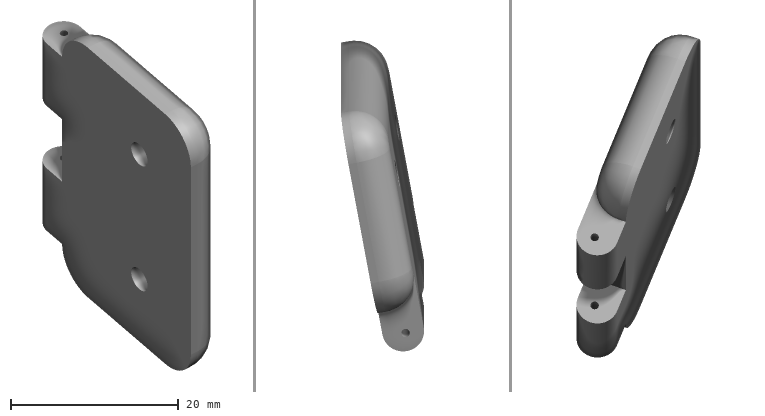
import cadquery as cq

plate_width = 25.0
plate_height = 40.0
thickness = 5.0
corner_radius = 5.0
back_edge_radius = 4.0

hinge_reach = 5.45
knuckle_length = 10.0
knuckle_gap = 10.0
knuckle_radius = thickness / 2
pin_diameter = 1.0
pin_from_tip = 2.25
pin_from_front = 2.75

screw_diameter = 3.2
screw_from_right = 10.0
screw_spacing = 20.0

plate_right = hinge_reach + plate_width
hinge_length = 2 * knuckle_length + knuckle_gap
hinge_bottom = (plate_height - hinge_length) / 2


def block(x_start, x_end, z_start, length):
    """Full-thickness block standing on z_start."""
    return cq.Workplane("XY").box(
        x_end - x_start, thickness, length, centered=False
    ).translate((x_start, 0, z_start))


def make_plate():
    """Plate with round corners and a rounded back edge."""
    plate = block(hinge_reach, plate_right, 0, plate_height)
    plate = plate.edges("|Y").fillet(corner_radius)
    return plate.faces(">Y").edges().fillet(back_edge_radius)


def make_knuckle(z_start):
    """Knuckle with a half-round tip, reaching in under the rounded plate edge."""
    root = hinge_reach + back_edge_radius
    return (
        cq.Workplane("XY", origin=(0, 0, z_start))
        .moveTo(root, 0)
        .lineTo(knuckle_radius, 0)
        .threePointArc((0, knuckle_radius), (knuckle_radius, thickness))
        .lineTo(root, thickness)
        .close()
        .extrude(knuckle_length)
    )


square_edge = block(hinge_reach, hinge_reach + corner_radius, hinge_bottom, hinge_length)
result = make_plate().union(square_edge)

for z_start in (hinge_bottom, hinge_bottom + knuckle_length + knuckle_gap):
    result = result.union(make_knuckle(z_start))

pin_hole = (
    cq.Workplane("XY", origin=(pin_from_tip, pin_from_front, hinge_bottom))
    .circle(pin_diameter / 2)
    .extrude(hinge_length)
)
result = result.cut(pin_hole)

for z_offset in (-screw_spacing / 2, screw_spacing / 2):
    screw_hole = (
        cq.Workplane("XZ", origin=(plate_right - screw_from_right, 0, plate_height / 2 + z_offset))
        .circle(screw_diameter / 2)
        .extrude(-thickness)
    )
    result = result.cut(screw_hole)
result = result.clean()